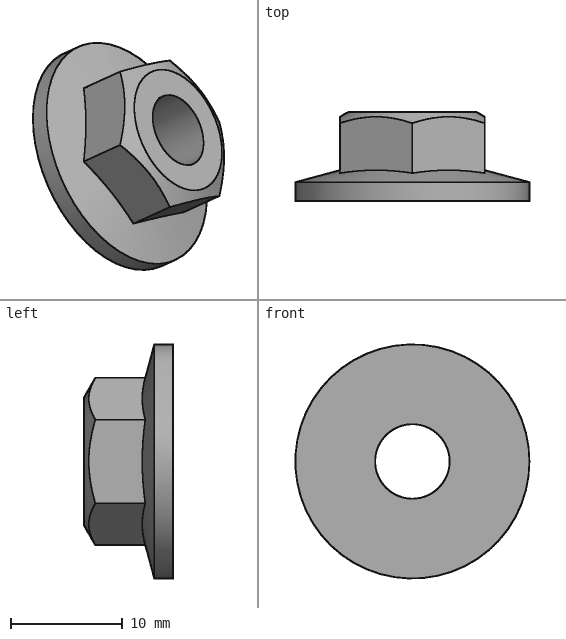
import cadquery as cq
import math

flange_diameter = 21.0
bore_diameter = 6.65
height = 8.0
rim_thickness = 1.7
across_flats = 13.0
flange_slope = 15.0
chamfer_slope = 30.0
top_face_diameter = 11.47

flange_radius = flange_diameter / 2
flat_radius = across_flats / 2
corner_radius = flat_radius / math.cos(math.radians(30))
top_face_radius = top_face_diameter / 2


def revolve_about_y(points):
    """Revolve a closed (radius, Y) outline around the Y axis."""
    return cq.Workplane("XY").polyline(points).close().revolve(360, (0, 0, 0), (0, 1, 0))


def make_flange():
    """Disc with a cylindrical rim and a conical back ending inside the hexagon."""
    cone_rise = (flange_radius - flat_radius) * math.tan(math.radians(flange_slope))
    cone_top = rim_thickness + cone_rise
    return revolve_about_y([
        (0, 0),
        (flange_radius, 0),
        (flange_radius, rim_thickness),
        (flat_radius, cone_top),
        (0, cone_top),
    ])


def make_hexagon():
    """Hexagonal prism with flats facing +X and -X, its free end chamfered by a cone."""
    prism = (
        cq.Workplane("XZ")
        .transformed(rotate=(0, 0, 90))
        .polygon(6, 2 * corner_radius)
        .extrude(-height)
    )
    chamfer_drop = (flange_radius - top_face_radius) * math.tan(math.radians(chamfer_slope))
    envelope = revolve_about_y([
        (0, 0),
        (flange_radius, 0),
        (flange_radius, height - chamfer_drop),
        (top_face_radius, height),
        (0, height),
    ])
    return prism.intersect(envelope)


def make_bore():
    """Cylinder for the through hole."""
    return cq.Workplane("XZ").circle(bore_diameter / 2).extrude(-height)


result = make_flange().union(make_hexagon()).cut(make_bore())